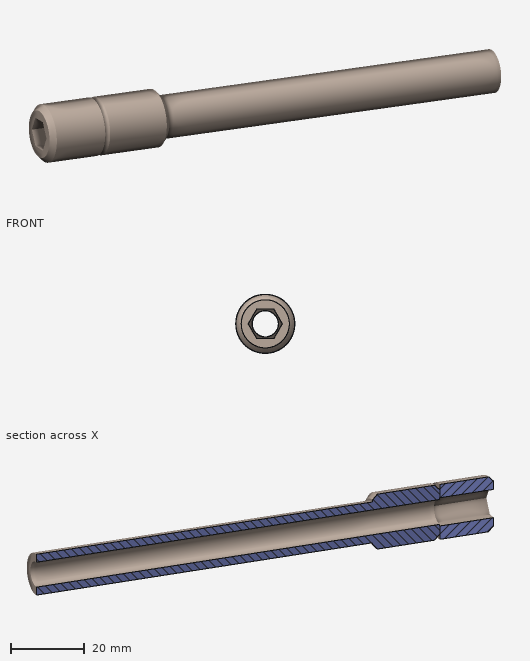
import cadquery as cq
import math

total_length = 136.0
head_diameter = 16.0
tube_diameter = 12.0
bore_diameter = 7.1
edge_chamfer = 1.5

nut_length = 16.0
head_length = 20.0
tube_length = total_length - nut_length - head_length

hex_across_flats = 8.0

front_y = -total_length / 2
joint_y = front_y + nut_length
shoulder_y = joint_y + head_length


def plane_at(y):
    """Plane across the axis at y, with its normal toward +Y and local x along -X."""
    return cq.Plane(origin=(0, y, 0), xDir=(-1, 0, 0), normal=(0, 1, 0))


def rod(y, diameter, length):
    """Solid cylinder that starts at y and runs toward +Y."""
    return cq.Workplane(plane_at(y)).circle(diameter / 2).extrude(length)


def make_nut():
    """Front sleeve with a chamfered front rim and a hexagonal hole through it."""
    body = rod(front_y, head_diameter, nut_length).faces("<Y").chamfer(edge_chamfer)
    hex_across_corners = hex_across_flats / math.cos(math.pi / 6)
    socket = cq.Workplane(plane_at(front_y)).polygon(6, hex_across_corners).extrude(nut_length)
    return body.cut(socket)


def make_tube():
    """Long tube with a thicker head, chamfered at both ends, that meets the nut."""
    head = rod(joint_y, head_diameter, head_length).faces("<Y or >Y").chamfer(edge_chamfer)
    tube = rod(shoulder_y, tube_diameter, tube_length)
    bore = rod(joint_y, bore_diameter, head_length + tube_length)
    return head.union(tube).cut(bore)


nut = make_nut()
tube = make_tube()

result = cq.Compound.makeCompound([nut.val(), tube.val()])